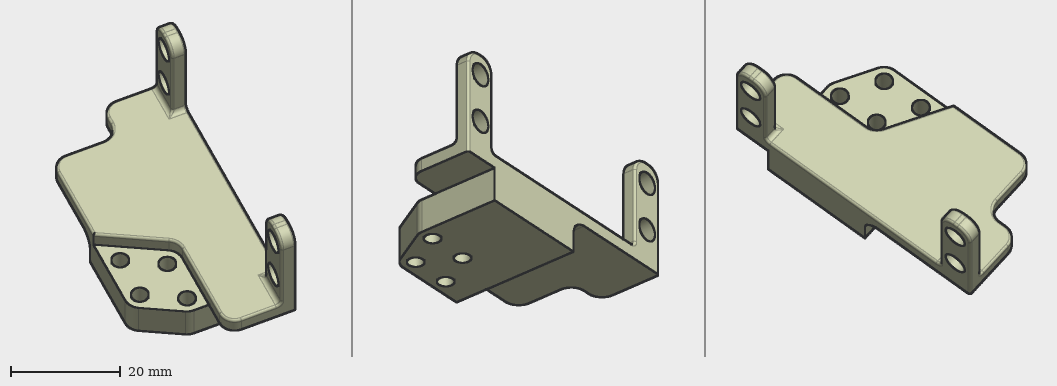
import cadquery as cq
import math

length = 55.0
depth = 27.5
block_height = 7.0
plate_thickness = 3.0
plate_top = block_height + plate_thickness
total_height = 29.5

corner_radius = 3.0
base_fillet = 1.0
edge_fillet = 0.5

wing_front = 13.5
step_x = 7.5
slant_start_x = 26.2
slant_angle = math.radians(60)
slant_end_x = slant_start_x + wing_front / math.tan(slant_angle)

tab_width = 7.0
tab_thickness = 3.0
tab_front = depth - tab_thickness
tab_hole_diameter = 4.5
tab_hole_heights = (15.0, 25.0)
tab_lefts = (0, length - tab_width)
tab_hole_inset = tab_width / 2

block_left = 24.7
block_right = 47.4
block_slant_x = 41.85
block_slant_y = (block_right - block_slant_x) * math.tan(slant_angle)
block_hole_diameter = 3.25
first_hole = (31.45, 2.95)
hole_spacing = 8.65
hole_row_step = hole_spacing * math.sin(slant_angle)
hole_row_shift = hole_spacing * math.cos(slant_angle)

tolerance = 0.005


def make_plate():
    """Stepped plate with every corner rounded except the back and the sharp slant start."""
    outline = [
        (0, depth), (0, wing_front), (step_x, wing_front), (step_x, 0),
        (slant_start_x, 0), (slant_end_x, wing_front), (length, wing_front), (length, depth),
    ]
    plate = cq.Workplane("XY").workplane(offset=block_height).polyline(outline).close()
    plate = plate.extrude(plate_thickness)
    rounded_corners = [
        (0, wing_front), (step_x, wing_front), (step_x, 0),
        (slant_end_x, wing_front), (length, wing_front),
    ]
    mid_height = block_height + plate_thickness / 2
    edges = plate.edges("|Z").filter(
        lambda edge: any(
            (edge.Center() - cq.Vector(x, y, mid_height)).Length < tolerance for x, y in rounded_corners
        )
    )
    return edges.fillet(corner_radius)


def make_tab(left):
    """Upright tab rising from the plate, with rounded top corners."""
    height = total_height - block_height
    tab = cq.Workplane("XY").box(tab_width, tab_thickness, height, centered=False)
    tab = tab.edges("|Y and >Z").fillet(corner_radius)
    return tab.translate((left, tab_front, block_height))


def is_tab_base(edge):
    """True for the inside corners where a tab's front and inner side meet the plate."""
    center = edge.Center()
    on_plate_top = edge.BoundingBox().zlen < tolerance and abs(center.z - plate_top) < tolerance
    at_front = abs(center.y - tab_front) < tolerance
    at_side = any(abs(center.x - x) < tolerance for x in (tab_width, length - tab_width))
    return on_plate_top and (at_front or at_side)


def is_outer_edge(edge):
    """True for the edges around the plate top and around both faces of the tabs."""
    box = edge.BoundingBox()
    center = edge.Center()
    on_plate_top = box.zlen < tolerance and abs(center.z - plate_top) < tolerance
    on_plate_rim = on_plate_top and (
        center.y < wing_front + tolerance
        or abs(center.x) < tolerance
        or abs(center.x - length) < tolerance
    )
    on_back = abs(box.ymin - depth) < tolerance and center.z > block_height + tolerance
    on_tab_front = abs(box.ymax - tab_front) < tolerance and box.ylen < tolerance
    on_tab_front = on_tab_front and (box.zlen > tolerance or center.z > total_height - tolerance)
    on_end = box.xlen < tolerance and min(abs(center.x), abs(center.x - length)) < tolerance
    on_base_curve = on_end and box.ylen > tolerance and box.zlen > tolerance
    return on_plate_rim or on_back or on_tab_front or on_base_curve


def make_block():
    """Mounting block with a slanted front corner and a concave fillet up to the plate."""
    outline = [
        (block_left, 0), (block_slant_x, 0), (block_right, block_slant_y),
        (block_right, depth), (block_left, depth),
    ]
    block = cq.Workplane("XY").polyline(outline).close().extrude(block_height)
    slant_corners = cq.selectors.BoxSelector(
        (block_slant_x - tolerance, -tolerance, 0),
        (block_right + tolerance, block_slant_y + tolerance, block_height),
    )
    block = block.edges("|Z").edges(slant_corners).fillet(corner_radius)
    web = (
        cq.Workplane("XZ")
        .moveTo(block_left, block_height)
        .lineTo(block_left - corner_radius, block_height)
        .radiusArc((block_left, block_height - corner_radius), corner_radius)
        .close()
        .extrude(-depth)
    )
    return block.union(web)


def tab_holes():
    centers = [(left + tab_hole_inset, z) for left in tab_lefts for z in tab_hole_heights]
    return cq.Workplane("XZ").pushPoints(centers).circle(tab_hole_diameter / 2).extrude(-depth)


def block_holes():
    x, y = first_hole
    centers = [
        (x + column * hole_spacing + row * hole_row_shift, y + row * hole_row_step)
        for row in range(2)
        for column in range(2)
    ]
    return cq.Workplane("XY").pushPoints(centers).circle(block_hole_diameter / 2).extrude(block_height)


bracket = make_plate()
for tab_left in tab_lefts:
    bracket = bracket.union(make_tab(tab_left))
bracket = bracket.edges().filter(is_tab_base).fillet(base_fillet)
bracket = bracket.edges().filter(is_outer_edge).fillet(edge_fillet)

result = bracket.union(make_block()).cut(tab_holes()).cut(block_holes())